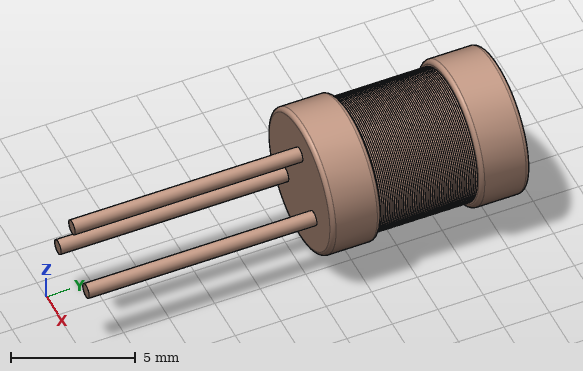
import cadquery as cq

total_length = 18.74
lead_length = 10.0
body_length = total_length - lead_length

flange_diameter = 6.25
flange_thickness = 2.2
flange_fillet = 0.19

winding_diameter = 5.73
winding_length = body_length - 2 * flange_thickness
turn_count = 55
turn_pitch = winding_length / turn_count
wire_radius = turn_pitch / 2
groove_radius = winding_diameter / 2 - wire_radius
winding_inner_radius = groove_radius - wire_radius

core_diameter = 3.75

lead_count = 3
lead_diameter = 0.64
lead_circle_radius = 1.57
first_lead_angle = 90
lead_embed = flange_thickness / 2


def cylinder(diameter, start_y, length):
    """Cylinder on the Y axis, running from start_y toward +Y."""
    plane = cq.Workplane("XZ", origin=(0, start_y, 0))
    return plane.circle(diameter / 2).extrude(-length)


def make_flange(start_y):
    """Disc with both rims rounded."""
    return cylinder(flange_diameter, start_y, flange_thickness).edges().fillet(flange_fillet)


def make_winding(start_y):
    """Thin sleeve, one wire thick, with a half-round ridge for each turn of wire."""
    outline = cq.Workplane("XY").moveTo(winding_inner_radius, start_y).lineTo(groove_radius, start_y)
    for turn in range(turn_count):
        turn_start = start_y + turn * turn_pitch
        crest = (winding_diameter / 2, turn_start + wire_radius)
        outline = outline.threePointArc(crest, (groove_radius, turn_start + turn_pitch))
    outline = outline.lineTo(winding_inner_radius, start_y + winding_length).close()
    return outline.revolve(360, (0, 0, 0), (0, 1, 0))


def make_leads():
    """Straight round leads, rooted inside the front flange."""
    return (
        cq.Workplane("XZ", origin=(0, lead_embed, 0))
        .polarArray(lead_circle_radius, first_lead_angle, 360, lead_count)
        .circle(lead_diameter / 2)
        .extrude(lead_length + lead_embed)
    )


front_flange = make_flange(0)
core = cylinder(core_diameter, flange_thickness, winding_length)
winding = make_winding(flange_thickness)
back_flange = make_flange(flange_thickness + winding_length)

bobbin = front_flange.union(core).union(back_flange)
result = bobbin.union(winding).union(make_leads())